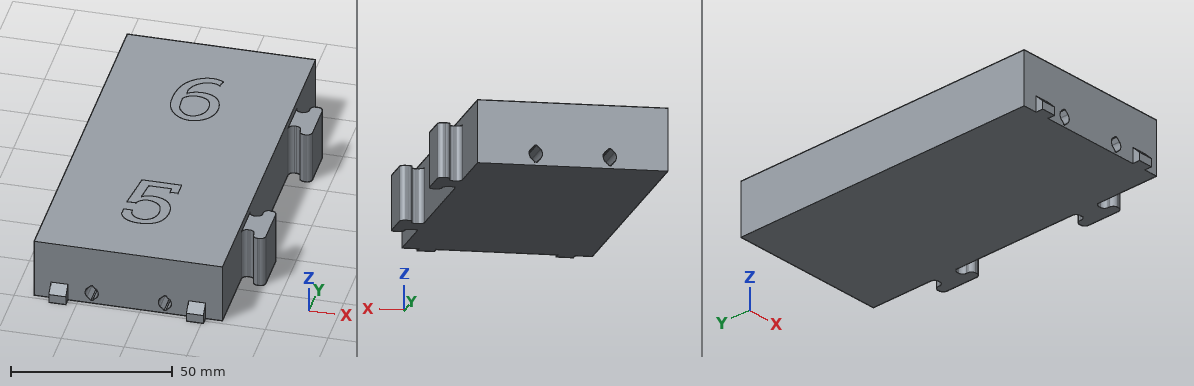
import cadquery as cq
import math

OVERALL_LENGTH = 122.7
HOOK_REACH = 2.8
HOUSING_LENGTH = OVERALL_LENGTH - HOOK_REACH
TILE = HOUSING_LENGTH / 2
HOUSING_WIDTH = 60.0
HOUSING_HEIGHT = 20.0
TILE_CENTERS = {"six": TILE / 2, "five": -TILE / 2}

CONNECTOR_REACH = 8.0
CONNECTOR_HEIGHT = 17.4
HEAD_THICKNESS = CONNECTOR_REACH / 2
HEAD_WIDTH = 2 * CONNECTOR_REACH
NECK_WIDTH = CONNECTOR_REACH
CONNECTOR_FILLET = 1.7

HOOK_WIDTH = 5.4
HOOK_HEIGHT = 5.8
HOOK_INSET = 5.4
HOOK_CENTER = HOUSING_WIDTH / 2 - HOOK_INSET - HOOK_WIDTH / 2

HOLE_RADIUS = 2.1
HOLE_TIP_WIDTH = 0.5
HOLE_SPACING = 23.3
HOLE_CENTER_Z = 3.7

DIGIT_DEPTH = 1.0


def make_block():
    size = (HOUSING_WIDTH, HOUSING_LENGTH, HOUSING_HEIGHT)
    return cq.Workplane("XY").box(*size, centered=(True, True, False))


def add_connectors(body):
    """Join a T-shaped connector to the +X wall of each tile and round its upright edges."""
    wall = HOUSING_WIDTH / 2
    head_center = wall + CONNECTOR_REACH - HEAD_THICKNESS / 2
    for center_y in TILE_CENTERS.values():
        head = (
            cq.Workplane("XY")
            .center(head_center, center_y)
            .rect(HEAD_THICKNESS, HEAD_WIDTH)
            .extrude(CONNECTOR_HEIGHT)
        )
        neck = (
            cq.Workplane("XY")
            .center((wall + head_center) / 2, center_y)
            .rect(head_center - wall, NECK_WIDTH)
            .extrude(CONNECTOR_HEIGHT)
        )
        body = body.union(head).union(neck)
    shorter_than = (CONNECTOR_HEIGHT + HOUSING_HEIGHT) / 2
    upright_edges = body.edges("|Z").filter(lambda edge: edge.Length() < shorter_than)
    return body.newObject(upright_edges.vals()).fillet(CONNECTOR_FILLET)


def make_hooks():
    """Two blocks at the foot of the -Y end, each with a 45 degree slope on top."""
    wall = -HOUSING_LENGTH / 2
    profile = [
        (wall, 0),
        (wall - HOOK_REACH, 0),
        (wall - HOOK_REACH, HOOK_HEIGHT - HOOK_REACH),
        (wall, HOOK_HEIGHT),
    ]
    hook = cq.Workplane("YZ").polyline(profile).close().extrude(HOOK_WIDTH / 2, both=True)
    return [hook.translate((side * HOOK_CENTER, 0, 0)) for side in (-1, 1)]


def make_hole_cutters():
    """Bars along Y: a cylinder joined to two blunt wedges whose 45 degree flanks touch it."""
    tangent = HOLE_RADIUS * math.sqrt(0.5)
    tip_half = HOLE_TIP_WIDTH / 2
    tip = HOLE_RADIUS * math.sqrt(2) - tip_half
    bar = (
        cq.Workplane("XZ")
        .moveTo(-tip_half, tip)
        .lineTo(tip_half, tip)
        .lineTo(tangent, tangent)
        .threePointArc((HOLE_RADIUS, 0), (tangent, -tangent))
        .lineTo(tip_half, -tip)
        .lineTo(-tip_half, -tip)
        .lineTo(-tangent, -tangent)
        .threePointArc((-HOLE_RADIUS, 0), (-tangent, tangent))
        .close()
        .extrude(HOUSING_LENGTH / 2, both=True)
    )
    return [bar.translate((side * HOLE_SPACING / 2, 0, HOLE_CENTER_Z)) for side in (-1, 1)]


def digit_plane(name):
    """Plane at the floor of a digit's recess, with its origin at the centre of the digit's tile."""
    return cq.Workplane("XY", origin=(0, TILE_CENTERS[name], HOUSING_HEIGHT - DIGIT_DEPTH))


def make_digit_six():
    """Curved stroke ending in a bowl, with the bowl's counter left open for the housing."""
    back_and_bowl = [
        (5.3, 11.0), (1.3, 12.0), (-5.3, 8.3), (-7.9, 0.0), (-6.1, -8.6), (0.1, -12.5),
        (5.6, -10.0), (7.5, -3.9), (4.9, 2.1), (1.0, 3.5), (-4.0, 2.1),
    ]
    inner_hook = [(-4.0, 2.1), (-3.2, 6.4), (1.0, 9.3), (4.8, 8.6)]
    counter_curve = [
        (-4.8, -1.1), (-0.4, 1.2), (3.2, -0.2), (4.4, -3.9), (3.1, -8.3), (0.0, -10.0), (-3.0, -8.5), (-4.5, -4.9),
    ]
    stroke = digit_plane("six").spline(back_and_bowl).spline(inner_hook).close().extrude(DIGIT_DEPTH)
    counter = digit_plane("six").spline(counter_curve).close().extrude(DIGIT_DEPTH)
    return stroke.cut(counter)


def make_digit_five():
    """Straight flag and stem running into an open bowl of even stroke."""
    flag_and_stem = [
        (-7.5, -1.5), (-5.9, 11.5), (6.7, 11.5), (6.7, 6.9), (4.2, 6.9), (4.2, 8.8), (-3.1, 8.8), (-3.8, 2.3),
    ]
    bowl_outside = [
        (-3.8, 2.3), (-0.4, 3.4), (4.8, 1.3), (6.7, -4.4), (4.8, -10.2), (-0.9, -12.3), (-5.3, -11.2), (-7.5, -8.3),
    ]
    bowl_end = [(-7.5, -8.3), (-7.5, -5.6), (-4.7, -5.6)]
    bowl_inside = [
        (-4.7, -5.6), (-3.5, -8.7), (-0.9, -10.0), (2.3, -8.7), (3.7, -4.4), (2.6, -1.0), (-1.0, 0.9), (-4.7, -1.5),
    ]
    return (
        digit_plane("five")
        .polyline(flag_and_stem)
        .spline(bowl_outside)
        .polyline(bowl_end)
        .spline(bowl_inside)
        .close()
        .extrude(DIGIT_DEPTH)
    )


def make_housing(digits):
    body = add_connectors(make_block())
    for hook in make_hooks():
        body = body.union(hook)
    for cutter in make_hole_cutters() + digits:
        body = body.cut(cutter)
    return body


digit_six = make_digit_six()
digit_five = make_digit_five()
housing = make_housing([digit_six, digit_five])

result = cq.Compound.makeCompound([housing.val(), digit_six.val(), digit_five.val()])